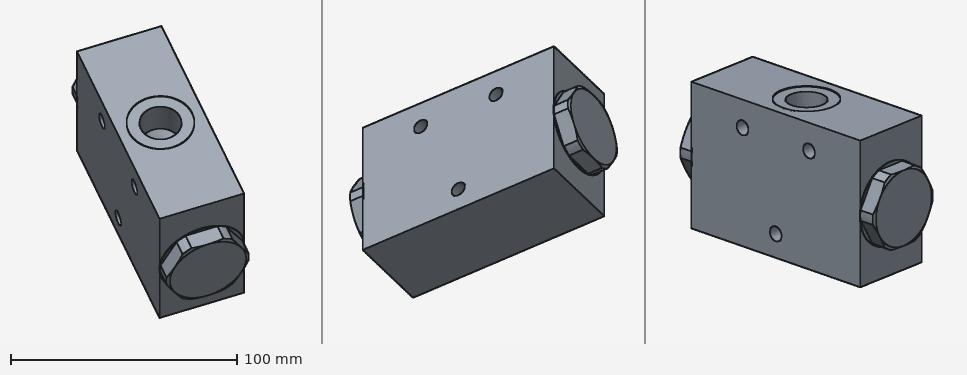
import cadquery as cq
import math

overall_length = 117.0
block_length = 101.7
block_width = 40.0
block_height = 70.0

mount_hole_diameter = 7.0
upper_hole_spacing = 40.0
upper_hole_z = 21.5
lower_hole_z = -23.5

port_diameter = 18.6
port_depth = 16.0
port_tip_angle = 118.0
port_face_diameter = 30.0
port_face_depth = 0.5

plug_axis_z = -1.0
seat_diameter = block_width
seat_depth = 0.4
hex_across_flats = 36.0
plug_corner_diameter = 39.1
plug_face_diameter = hex_across_flats
plug_chamfer_length = 0.6

seat_floor_x = block_length / 2 - seat_depth
plug_length = overall_length / 2 - seat_floor_x
end_sides = (-1, 1)


def end_workplane(side, distance):
    """Plane across the plug axis, facing outward, with its local y along Z."""
    plane = cq.Plane(origin=(side * distance, 0, plug_axis_z), xDir=(0, side, 0), normal=(side, 0, 0))
    return cq.Workplane(plane)


def make_port_cutter():
    """Port face and blind drilled hole with a conical bottom, revolved about Z."""
    top_z = block_height / 2
    face_z = top_z - port_face_depth
    shoulder_z = top_z - port_depth
    radius = port_diameter / 2
    tip_z = shoulder_z - radius / math.tan(math.radians(port_tip_angle / 2))
    profile = [
        (0, top_z),
        (port_face_diameter / 2, top_z),
        (port_face_diameter / 2, face_z),
        (radius, face_z),
        (radius, shoulder_z),
        (0, tip_z),
    ]
    return cq.Workplane("XZ").polyline(profile).close().revolve(360, (0, 0, 0), (0, 1, 0))


def make_housing():
    block = cq.Workplane("XY").box(block_length, block_width, block_height)

    hole_centers = [
        (-upper_hole_spacing / 2, upper_hole_z),
        (upper_hole_spacing / 2, upper_hole_z),
        (0, lower_hole_z),
    ]
    mount_holes = (
        cq.Workplane("XZ")
        .pushPoints(hole_centers)
        .circle(mount_hole_diameter / 2)
        .extrude(block_width / 2, both=True)
    )
    block = block.cut(mount_holes).cut(make_port_cutter())

    for side in end_sides:
        seat = end_workplane(side, seat_floor_x).circle(seat_diameter / 2).extrude(seat_depth)
        block = block.cut(seat)
    return block


def make_plug(side):
    """Hexagonal plug head with turned corners and a chamfered outer end."""
    hexagon_diameter = hex_across_flats / math.cos(math.pi / 6)
    hexagon = end_workplane(side, seat_floor_x).polygon(6, hexagon_diameter).extrude(plug_length)

    straight_length = plug_length - plug_chamfer_length
    envelope = (
        end_workplane(side, seat_floor_x)
        .circle(plug_corner_diameter / 2)
        .extrude(straight_length)
    )
    cone = (
        end_workplane(side, seat_floor_x + straight_length)
        .circle(plug_corner_diameter / 2)
        .workplane(offset=plug_chamfer_length)
        .circle(plug_face_diameter / 2)
        .loft(ruled=True)
    )
    return hexagon.intersect(envelope.union(cone))


housing = make_housing()
plugs = [make_plug(side) for side in end_sides]

result = cq.Compound.makeCompound([housing.val(), *[plug.val() for plug in plugs]])